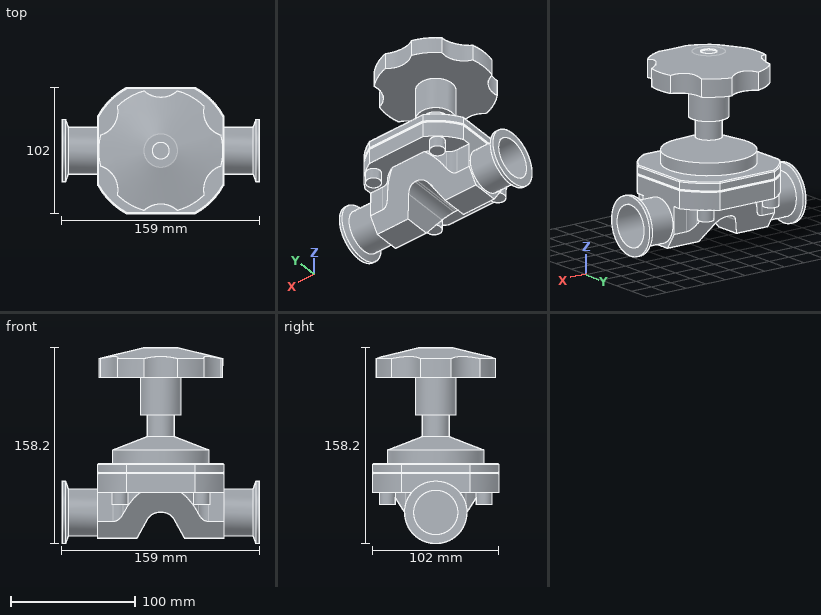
import cadquery as cq
import math


overall_length = 159.0
pipe_diameter = 38.1
bore_diameter = 35.7
ferrule_diameter = 50.5
ferrule_rim_thickness = 2.85
ferrule_taper_angle = 20.0

body_length = 102.0
wall_half_width = 20.5
body_bottom = -21.0
skirt_clearance = 21.2
skirt_angle = 32.5
hub_diameter = 78.0
hub_fillet = 10.0

arch_half_width = 19.2
arch_angle = 61.0
arch_crown = 0.0
arch_fillet = 11.0

plate_width = body_length
plate_corner_diameter = 116.0
body_plate_bottom = 16.0
body_plate_top = 31.2
bonnet_plate_bottom = 32.2
bonnet_plate_top = 39.6
bonnet_chamfer = 1.0
gasket_inset = 0.7

bolt_diameter = 13.0
bolt_spacing_x = 66.0
bolt_spacing_y = 78.0
bolt_end = 6.2

bonnet_diameter = hub_diameter
bonnet_rim_top = 50.3
spindle_diameter = 22.0
bonnet_cone_top = 61.2
collar_diameter = 33.0
collar_bottom = 78.5

overall_height = 158.15
wheel_diameter = 100.0
wheel_bottom = 108.7
wheel_rim_top = 124.0
wheel_top = overall_height - ferrule_diameter / 2
wheel_flat_diameter = 27.0
wheel_hole_diameter = 13.5
wheel_hole_depth = 1.0
scallop_count = 6
scallop_radius = 20.0
scallop_inner_radius = 43.0


def cylinder(diameter, bottom, top):
    """Vertical cylinder on the valve axis."""
    return cq.Workplane("XY").workplane(offset=bottom).circle(diameter / 2).extrude(top - bottom)


def plate(bottom, top, inset=0.0):
    """Square plate whose corners are rounded about the valve axis."""
    side = plate_width - 2 * inset
    square = cq.Workplane("XY").workplane(offset=bottom).rect(side, side).extrude(top - bottom)
    return square.intersect(cylinder(plate_corner_diameter - 2 * inset, bottom, top))


def make_walls():
    """Straight walls blended into the round hub with vertical fillets."""
    height = body_plate_bottom - body_bottom
    walls = (
        cq.Workplane("XY").workplane(offset=body_bottom)
        .rect(body_length, 2 * wall_half_width).extrude(height)
    )
    block = walls.union(cylinder(hub_diameter, body_bottom, body_plate_bottom))
    inner_corners = cq.selectors.BoxSelector(
        (-hub_diameter / 2, -hub_diameter / 2, body_bottom),
        (hub_diameter / 2, hub_diameter / 2, body_plate_bottom),
    )
    return block.edges("|Z").edges(inner_corners).fillet(hub_fillet)


def make_skirt():
    """Trapezoidal bar along X whose sides lean outward towards the plate."""
    slope = math.tan(math.radians(skirt_angle))
    axis_half_width = skirt_clearance / math.cos(math.radians(skirt_angle))
    bottom_half_width = axis_half_width + slope * body_bottom
    top_half_width = axis_half_width + slope * body_plate_bottom
    return (
        cq.Workplane("YZ")
        .polyline([
            (-bottom_half_width, body_bottom),
            (bottom_half_width, body_bottom),
            (top_half_width, body_plate_bottom),
            (-top_half_width, body_plate_bottom),
        ])
        .close().extrude(body_length / 2, both=True)
    )


def make_arch():
    """Recess across the body, under the weir."""
    crown_half_width = arch_half_width - (arch_crown - body_bottom) / math.tan(math.radians(arch_angle))
    return (
        cq.Workplane("XZ")
        .polyline([
            (-arch_half_width, body_bottom),
            (arch_half_width, body_bottom),
            (crown_half_width, arch_crown),
            (-crown_half_width, arch_crown),
        ])
        .close().extrude(hub_diameter, both=True)
        .edges("|Y and >Z").fillet(arch_fillet)
    )


def make_body():
    """Body below the plate: walls trimmed to the leaning skirt, with the arch cut through."""
    return make_walls().intersect(make_skirt()).cut(make_arch())


def make_pipe(side):
    """Pipe with a tapered ferrule, closed by the solid body, on the +X (side = 1) or -X (side = -1) end."""
    body_end = body_length / 2
    end = overall_length / 2
    rim_back = end - ferrule_rim_thickness
    taper_height = (ferrule_diameter - pipe_diameter) / 2
    taper_end = rim_back - taper_height * math.tan(math.radians(ferrule_taper_angle))
    profile = [
        (body_end, bore_diameter / 2),
        (end, bore_diameter / 2),
        (end, ferrule_diameter / 2),
        (rim_back, ferrule_diameter / 2),
        (taper_end, pipe_diameter / 2),
        (body_end, pipe_diameter / 2),
    ]
    outline = [(side * x, radius) for x, radius in profile]
    return cq.Workplane("XZ").polyline(outline).close().revolve(360, (0, 0, 0), (1, 0, 0))


def make_plates():
    """Body and bonnet plates with the slightly smaller gasket between them."""
    body_plate = plate(body_plate_bottom, body_plate_top)
    gasket = plate(body_plate_top, bonnet_plate_bottom, gasket_inset)
    bonnet_plate = plate(bonnet_plate_bottom, bonnet_plate_top).faces(">Z").edges().chamfer(bonnet_chamfer)
    return body_plate.union(gasket).union(bonnet_plate)


def make_bolts():
    """Four bolt ends below the body plate."""
    return (
        cq.Workplane("XY").workplane(offset=bolt_end)
        .rect(bolt_spacing_x, bolt_spacing_y, forConstruction=True).vertices()
        .circle(bolt_diameter / 2).extrude(body_plate_bottom - bolt_end)
    )


def make_bonnet():
    """Conical bonnet, spindle and collar turned about the valve axis."""
    return (
        cq.Workplane("XZ")
        .polyline([
            (0, bonnet_plate_top),
            (bonnet_diameter / 2, bonnet_plate_top),
            (bonnet_diameter / 2, bonnet_rim_top),
            (spindle_diameter / 2, bonnet_cone_top),
            (spindle_diameter / 2, collar_bottom),
            (collar_diameter / 2, collar_bottom),
            (collar_diameter / 2, wheel_bottom),
            (0, wheel_bottom),
        ])
        .close().revolve(360, (0, 0, 0), (0, 1, 0))
    )


def make_handwheel():
    """Conical handwheel with finger scallops and a shallow hole in its top."""
    wheel = (
        cq.Workplane("XZ")
        .polyline([
            (0, wheel_bottom),
            (wheel_diameter / 2, wheel_bottom),
            (wheel_diameter / 2, wheel_rim_top),
            (wheel_flat_diameter / 2, wheel_top),
            (0, wheel_top),
        ])
        .close().revolve(360, (0, 0, 0), (0, 1, 0))
    )
    scallops = (
        cq.Workplane("XY").workplane(offset=wheel_bottom)
        .polarArray(scallop_inner_radius + scallop_radius, 90, 360, scallop_count)
        .circle(scallop_radius).extrude(wheel_top - wheel_bottom)
    )
    hole = cylinder(wheel_hole_diameter, wheel_top - wheel_hole_depth, wheel_top)
    return wheel.cut(scallops).cut(hole)


result = make_body()
for pipe_side in (-1, 1):
    result = result.union(make_pipe(pipe_side))
for section in (make_plates(), make_bolts(), make_bonnet(), make_handwheel()):
    result = result.union(section)